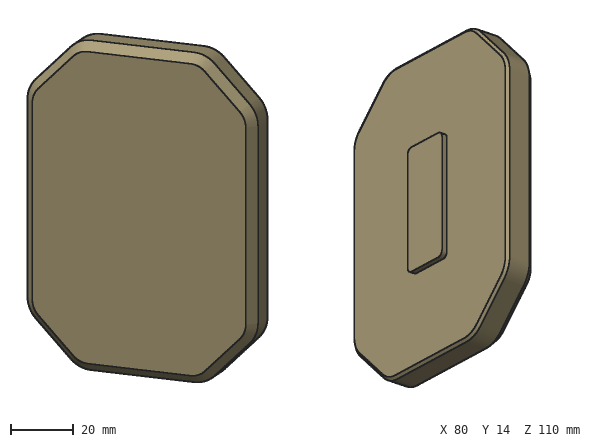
import cadquery as cq

plate_width = 80.0
plate_height = 110.0
plate_thickness = 12.0
corner_cut = 18.0
corner_radius = 10.0
front_chamfer = 3.0
back_chamfer = 1.0

pad_width = 17.75
pad_height = 44.0
pad_thickness = 2.0
pad_corner_radius = 2.0


def make_plate():
    """Octagonal plate with its front face at Y = 0 and its back face at +Y."""
    plate = (
        cq.Workplane("XZ")
        .rect(plate_width, plate_height)
        .extrude(-plate_thickness)
        .edges("|Y")
        .chamfer(corner_cut)
        .edges("|Y")
        .fillet(corner_radius)
    )
    plate = plate.faces("<Y").chamfer(front_chamfer)
    return plate.faces(">Y").chamfer(back_chamfer)


def make_pad():
    """Rounded rectangular pad standing on the back face of the plate."""
    return (
        cq.Workplane("XZ", origin=(0, plate_thickness, 0))
        .rect(pad_width, pad_height)
        .extrude(-pad_thickness)
        .edges("|Y")
        .fillet(pad_corner_radius)
    )


result = make_plate().union(make_pad())